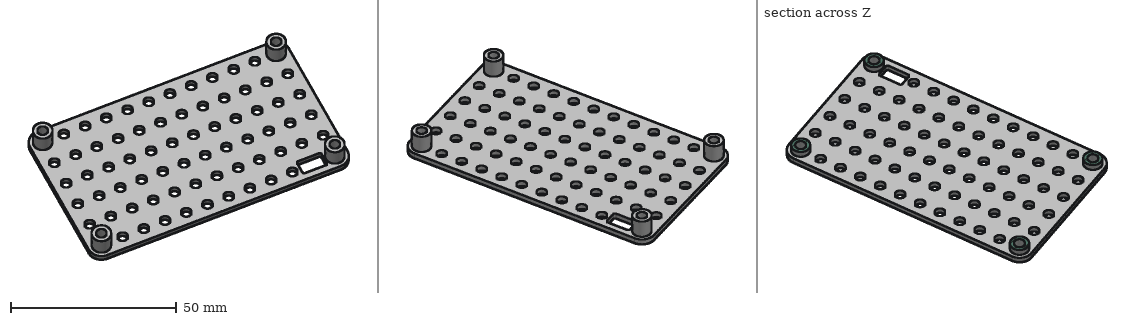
import cadquery as cq

width = 50.5
length = 86.5
total_height = 8.0
plate_thickness = 2.0
corner_radius = 4.2

hole_diameter = 3.2
columns = 6
rows = 12
grid_width = width - 2 * corner_radius
grid_length = length - 2 * corner_radius
column_pitch = grid_width / (columns - 1)
row_pitch = grid_length / (rows - 1)

post_diameter = 6.0

window_width = 4.85
window_length = 8.1
window_x = 20.6
window_y = 31.6
window_corner_radius = 0.6
window_column = columns - 1
window_row = rows - 2


def make_plate():
    plate = cq.Workplane("XY").box(width, length, plate_thickness, centered=(True, True, False))
    return plate.edges("|Z").fillet(corner_radius)


def make_posts():
    return (
        cq.Workplane("XY")
        .rect(grid_width, grid_length, forConstruction=True)
        .vertices()
        .circle(post_diameter / 2)
        .extrude(total_height)
    )


def grid_points():
    """Hole centres, leaving out the one replaced by the window."""
    return [
        (column * column_pitch - grid_width / 2, row * row_pitch - grid_length / 2)
        for column in range(columns)
        for row in range(rows)
        if (column, row) != (window_column, window_row)
    ]


def make_holes():
    return cq.Workplane("XY").pushPoints(grid_points()).circle(hole_diameter / 2).extrude(total_height)


def make_window():
    return (
        cq.Workplane("XY")
        .center(window_x, window_y)
        .rect(window_width, window_length)
        .extrude(plate_thickness)
        .edges("|Z")
        .fillet(window_corner_radius)
    )


result = make_plate().union(make_posts()).cut(make_holes()).cut(make_window())